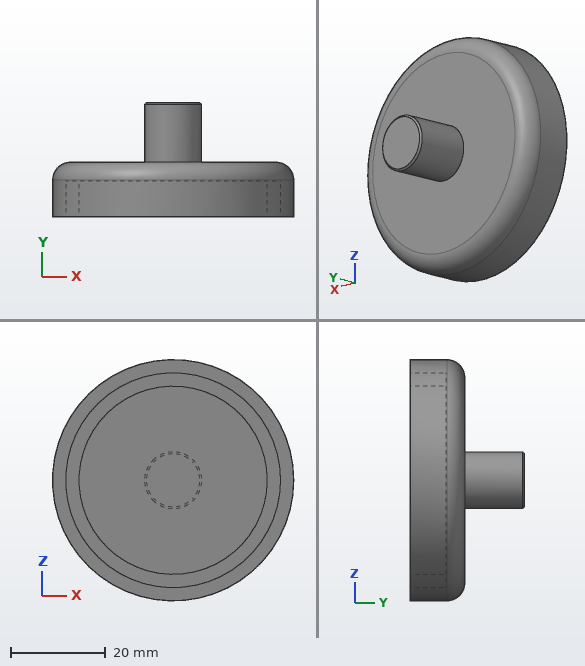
import cadquery as cq

housing_diameter = 50.8
housing_height = 11.5
housing_edge_radius = 3.8

overall_length = 24.0
stud_diameter = 12.0
stud_length = overall_length - housing_height
stud_chamfer = 0.4

ring_outer_diameter = 45.2
magnet_diameter = 39.6
recess_depth = 7.5


def cylinder(diameter, length, start_y=0):
    """Solid round bar on the Y axis, running from start_y toward +Y."""
    plane = cq.Workplane("XZ", origin=(0, start_y, 0))
    return plane.circle(diameter / 2).extrude(-length)


def make_housing():
    """Cup with a rounded back edge, a chamfered stud and a recess in its open face."""
    cup = cylinder(housing_diameter, housing_height).faces(">Y").edges().fillet(housing_edge_radius)
    stud = cylinder(stud_diameter, stud_length, housing_height).faces(">Y").chamfer(stud_chamfer)
    recess = cylinder(ring_outer_diameter, recess_depth)
    return cup.union(stud).cut(recess)


def make_spacer_ring():
    """Ring that fills the gap between the magnet and the recess wall."""
    return cylinder(ring_outer_diameter, recess_depth).cut(cylinder(magnet_diameter, recess_depth))


def make_magnet():
    """Plain disc in the middle of the recess."""
    return cylinder(magnet_diameter, recess_depth)


housing = make_housing()
spacer_ring = make_spacer_ring()
magnet = make_magnet()

result = cq.Compound.makeCompound([housing.val(), spacer_ring.val(), magnet.val()])